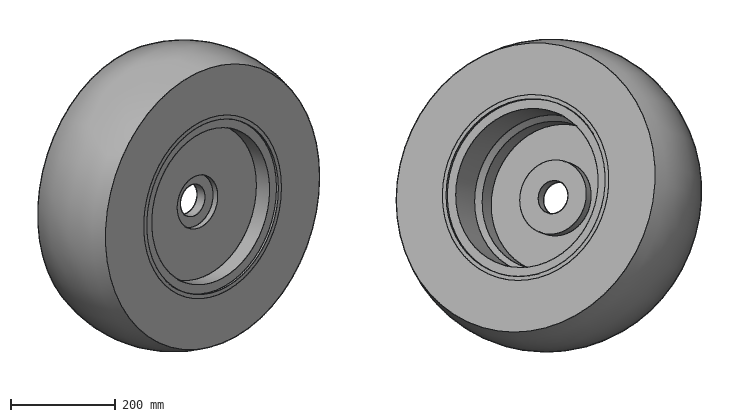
import cadquery as cq

wheel_width = 190.0
half_width = wheel_width / 2

crown_radius = 600.0 / 2
shoulder_radius = 560.0 / 2

rim_radius = 360.0 / 2
lip_radius = 344.04 / 2
lip_depth = 5.35
rim_face = half_width - lip_depth

mouth_radius = 308.0 / 2
floor_radius = 288.0 / 2
taper_start = -12.3
taper_end = -0.5
web_front = 36.7

hub_radius = 144.0 / 2
hub_front = 16.8
bore_radius = 64.0 / 2
bore_end = 39.5
counterbore_radius = 106.0 / 2
web_thickness = 16.0
web_back = web_front + web_thickness


def revolve_about_x(profile):
    """Close an (x, radius) outline and turn it around the wheel axis."""
    return profile.close().revolve(360, (0, 0, 0), (1, 0, 0))


def make_tyre():
    """Solid tyre with a crowned tread and a plain cylindrical seat for the rim."""
    profile = (
        cq.Workplane("XY")
        .moveTo(-half_width, rim_radius)
        .lineTo(-half_width, shoulder_radius)
        .threePointArc((0, crown_radius), (half_width, shoulder_radius))
        .lineTo(half_width, rim_radius)
    )
    return revolve_about_x(profile)


def make_wheel():
    """Rim, web and hub in one piece, with the web set towards the +X side."""
    profile = (
        cq.Workplane("XY")
        .moveTo(-half_width, rim_radius)
        .lineTo(-half_width, lip_radius)
        .lineTo(-rim_face, lip_radius)
        .lineTo(-rim_face, mouth_radius)
        .lineTo(taper_start, mouth_radius)
        .lineTo(taper_end, floor_radius)
        .lineTo(web_front, floor_radius)
        .lineTo(web_front, hub_radius)
        .lineTo(hub_front, hub_radius)
        .lineTo(hub_front, bore_radius)
        .lineTo(bore_end, bore_radius)
        .lineTo(bore_end, counterbore_radius)
        .lineTo(web_back, counterbore_radius)
        .lineTo(web_back, mouth_radius)
        .lineTo(rim_face, mouth_radius)
        .lineTo(rim_face, lip_radius)
        .lineTo(half_width, lip_radius)
        .lineTo(half_width, rim_radius)
    )
    return revolve_about_x(profile)


tyre = make_tyre()
wheel = make_wheel()

result = cq.Compound.makeCompound([tyre.val(), wheel.val()])